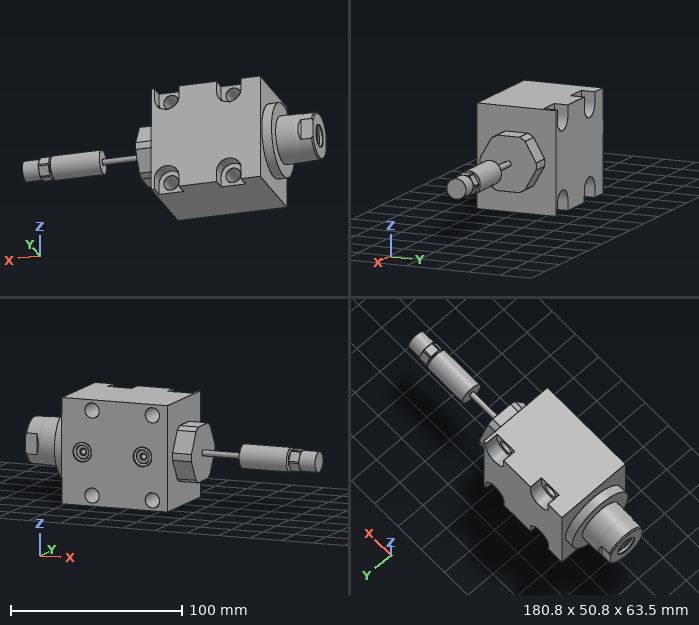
import cadquery as cq
import math


block_length = 67.1
block_depth = 50.8
block_height = 63.5
axis_to_back = 25.1

mount_hole_dia = 9.0
mount_slot_width = 15.0
mount_slot_depth = 8.7
mount_first_x = 19.4
mount_pitch_x = 38.2
mount_offset_z = 25.3

port_first_x = 13.0
port_seat_dia = 11.5
port_seat_depth = 1.6
ring_tube_dia = 1.8
port_hole_dia = 3.3
port_hole_depth = 10.9
port_chamfer = 0.5

flange_dia = 44.5
flange_length = 6.0
barrel_dia = 28.8
barrel_length = 12.1
shoulder_length = 1.0
tip_dia = 28.2
tip_length = 9.2
tip_chamfer = 0.5
tip_chamfer_length = 0.9
flat_across = 25.3
flat_length = 7.5
bore_dia = 11.2
bore_depth = 16.3
bore_chamfer = 0.7
mouth_depth = 2.2
mouth_chamfer = 0.4

nut_across_flats = 33.3
nut_corner_dia = 36.2
nut_length = 12.0
cable_dia = 3.6
cable_length = 25.7
sleeve_dia = 14.6
sleeve_length = 30.0
neck_dia = 8.7
neck_length = 1.5
plug_hex_across_flats = 12.7
plug_hex_corner_dia = 14.1
plug_hex_length = 6.1
plug_dia = 12.5

total_length = 180.8

nose_length = flange_length + barrel_length + shoulder_length + tip_length
nose_end = -nose_length
plug_end = total_length - nose_length
front_y = axis_to_back - block_depth


def rod(start_x, length, diameter):
    """Cylinder on the X axis."""
    return cq.Workplane("YZ", origin=(start_x, 0, 0)).circle(diameter / 2).extrude(length)


def hexagon(start_x, length, across_flats, corner_dia):
    """Hexagonal bar with flats on top and bottom and its corners turned to corner_dia."""
    bar = (
        cq.Workplane("YZ", origin=(start_x, 0, 0))
        .polygon(6, across_flats / math.cos(math.pi / 6))
        .extrude(length)
    )
    return bar.intersect(rod(start_x, length, corner_dia))


def make_block():
    block = cq.Workplane("XY").box(block_length, block_depth, block_height, centered=(False, False, True))
    return block.translate((0, front_y, 0))


def mounting_hole(x, side):
    """Through hole plus its back slot; side is +1 for the top and -1 for the bottom."""
    z = side * mount_offset_z
    hole = cq.Workplane("XZ", origin=(x, axis_to_back, z)).circle(mount_hole_dia / 2).extrude(block_depth)
    slot = (
        cq.Workplane("XZ", origin=(x, axis_to_back, z))
        .moveTo(-mount_slot_width / 2, 0)
        .vLine(side * block_height / 2)
        .hLine(mount_slot_width)
        .vLine(-side * block_height / 2)
        .threePointArc((0, -side * mount_slot_width / 2), (-mount_slot_width / 2, 0))
        .close()
        .extrude(mount_slot_depth)
    )
    return hole.union(slot)


def port_cavity(x):
    """Round seat with a chamfered blind hole in its floor, revolved about the port centre line."""
    hole_radius = port_hole_dia / 2
    floor_y = front_y + port_seat_depth
    profile = [
        (x, front_y),
        (x + port_seat_dia / 2, front_y),
        (x + port_seat_dia / 2, floor_y),
        (x + hole_radius + port_chamfer, floor_y),
        (x + hole_radius, floor_y + port_chamfer),
        (x + hole_radius, floor_y + port_hole_depth),
        (x, floor_y + port_hole_depth + hole_radius),
    ]
    return cq.Workplane("XY").polyline(profile).close().revolve(360, (x, 0, 0), (x, 1, 0))


def port_ring(x):
    """O-ring lying against the seat wall, its crest flush with the front face."""
    tube_radius = ring_tube_dia / 2
    return (
        cq.Workplane("XY")
        .center(x + port_seat_dia / 2 - tube_radius, front_y + tube_radius)
        .circle(tube_radius)
        .revolve(360, (tube_radius - port_seat_dia / 2, 0, 0), (tube_radius - port_seat_dia / 2, 1, 0))
    )


def wrench_flat_cut():
    """Cutter for the front wrench flat, whose inner end runs out at 45 degrees."""
    flat_y = -flat_across / 2
    run_out = (barrel_dia - flat_across) / 2
    flat_end = nose_end + flat_length
    return (
        cq.Workplane("XY")
        .polyline([
            (nose_end, flat_y),
            (flat_end, flat_y),
            (flat_end + run_out, flat_y - run_out),
            (nose_end, flat_y - run_out),
        ])
        .close()
        .extrude(barrel_dia / 2, both=True)
    )


def bore_cavity():
    """Blind bore with a short wider mouth; both the mouth and the bore start with a 45 degree chamfer."""
    bore_radius = bore_dia / 2
    mouth_radius = bore_radius + bore_chamfer
    mouth_end = nose_end + mouth_depth
    profile = [
        (nose_end, 0),
        (nose_end, mouth_radius + mouth_chamfer),
        (nose_end + mouth_chamfer, mouth_radius),
        (mouth_end, mouth_radius),
        (mouth_end + bore_chamfer, bore_radius),
        (nose_end + bore_depth, bore_radius),
        (nose_end + bore_depth, 0),
    ]
    return cq.Workplane("XY").polyline(profile).close().revolve(360, (0, 0, 0), (1, 0, 0))


def make_nose():
    tip_radius = tip_dia / 2
    barrel_radius = barrel_dia / 2
    tip_end = nose_end + tip_length
    barrel_start = tip_end + shoulder_length
    profile = [
        (nose_end, 0),
        (nose_end, tip_radius - tip_chamfer),
        (nose_end + tip_chamfer_length, tip_radius),
        (tip_end, tip_radius),
        (barrel_start, barrel_radius),
        (-flange_length, barrel_radius),
        (-flange_length, flange_dia / 2),
        (0, flange_dia / 2),
        (0, 0),
    ]
    nose = cq.Workplane("XY").polyline(profile).close().revolve(360, (0, 0, 0), (1, 0, 0))
    front_flat = wrench_flat_cut()
    nose = nose.cut(front_flat).cut(front_flat.mirror("XZ"))
    return nose.cut(bore_cavity())


def make_cable_side():
    nut = hexagon(block_length, nut_length, nut_across_flats, nut_corner_dia)
    cable_start = block_length + nut_length
    sleeve_start = cable_start + cable_length
    neck_start = sleeve_start + sleeve_length
    hex_start = neck_start + neck_length
    plug_start = hex_start + plug_hex_length
    return (
        nut.union(rod(cable_start, cable_length, cable_dia))
        .union(rod(sleeve_start, sleeve_length, sleeve_dia))
        .union(rod(neck_start, neck_length, neck_dia))
        .union(hexagon(hex_start, plug_hex_length, plug_hex_across_flats, plug_hex_corner_dia))
        .union(rod(plug_start, plug_end - plug_start, plug_dia))
    )


body = make_block()
for column in range(2):
    mount_x = mount_first_x + column * mount_pitch_x
    for side in (1, -1):
        body = body.cut(mounting_hole(mount_x, side))
    port_x = port_first_x + column * mount_pitch_x
    body = body.cut(port_cavity(port_x)).union(port_ring(port_x))

result = body.union(make_nose()).union(make_cable_side())